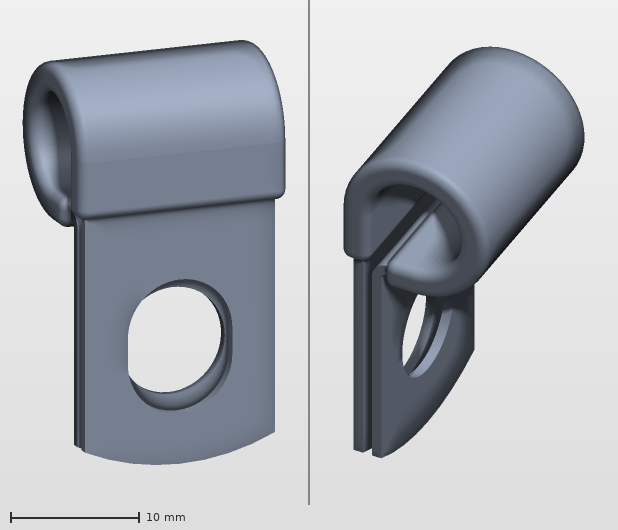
import cadquery as cq
import math


strip_thickness = 0.81
strip_width = 15.875
cushion_thickness = 0.794
bore_radius = 3.969
upright_length = 4.763
foot_length = 2.56
bend_inner_radius = 0.635
hole_diameter = 8.731
slot_travel = 2.1
hole_drop = 15.875
leg_drop = 25.4
leg_end_radius = 19.05

strip_inner_radius = bore_radius + cushion_thickness
strip_outer_radius = strip_inner_radius + strip_thickness
outer_radius = strip_outer_radius + cushion_thickness
cushion_width = strip_width + 2 * cushion_thickness
bent_leg_right = bore_radius
bent_leg_left = bent_leg_right - strip_thickness
bend_outer_radius = bend_inner_radius + strip_thickness
bend_start = bent_leg_right - bend_outer_radius
diagonal = math.sqrt(0.5)


def hook(inner, outer, upright, foot, width):
    """Three-quarter ring with a straight run down at +X and a straight run out at -Z."""
    return (
        cq.Workplane("XZ")
        .moveTo(inner, -upright)
        .lineTo(outer, -upright)
        .lineTo(outer, 0)
        .threePointArc((-outer * diagonal, outer * diagonal), (0, -outer))
        .lineTo(foot, -outer)
        .lineTo(foot, -inner)
        .lineTo(0, -inner)
        .threePointArc((-inner * diagonal, inner * diagonal), (inner, 0))
        .close()
        .extrude(width / 2, both=True)
    )


def make_cushion():
    """Rubber hook with all its rims and both ends rounded."""
    body = hook(bore_radius, outer_radius, upright_length, foot_length, cushion_width)
    side_rims = body.faces("<Y or >Y").edges()
    mid_radius = (bore_radius + outer_radius) / 2
    upright_end = body.faces(cq.NearestToPointSelector((mid_radius, 0, -upright_length)))
    foot_end = body.faces(cq.NearestToPointSelector((foot_length, 0, -mid_radius)))
    rounded = side_rims.add(upright_end.edges("|Y")).add(foot_end.edges("|Y"))
    return rounded.fillet(cushion_thickness)


def make_straight_leg():
    """Flat leg that continues the upright end of the loop."""
    return (
        cq.Workplane("XZ")
        .moveTo(strip_inner_radius, 0)
        .lineTo(strip_outer_radius, 0)
        .lineTo(strip_outer_radius, -leg_drop)
        .lineTo(strip_inner_radius, -leg_drop)
        .close()
        .extrude(strip_width / 2, both=True)
    )


def make_bent_leg():
    """Leg that leaves the foot of the loop and bends down beside the straight leg."""
    bend_z = -strip_inner_radius - bend_outer_radius
    outer_mid = (
        bend_start + bend_outer_radius * diagonal,
        bend_z + bend_outer_radius * diagonal,
    )
    inner_mid = (
        bend_start + bend_inner_radius * diagonal,
        bend_z + bend_inner_radius * diagonal,
    )
    return (
        cq.Workplane("XZ")
        .moveTo(0, -strip_inner_radius)
        .lineTo(bend_start, -strip_inner_radius)
        .threePointArc(outer_mid, (bent_leg_right, bend_z))
        .lineTo(bent_leg_right, -leg_drop)
        .lineTo(bent_leg_left, -leg_drop)
        .lineTo(bent_leg_left, bend_z)
        .threePointArc(inner_mid, (bend_start, -strip_outer_radius))
        .lineTo(0, -strip_outer_radius)
        .close()
        .extrude(strip_width / 2, both=True)
    )


def make_leg_envelope():
    """Outline of the legs along X: straight sides and an arched lower end."""
    half_width = strip_width / 2
    end_rise = leg_end_radius - math.sqrt(leg_end_radius**2 - half_width**2)
    corner_z = end_rise - leg_drop
    return (
        cq.Workplane("YZ")
        .moveTo(-half_width, 0)
        .lineTo(-half_width, corner_z)
        .threePointArc((0, -leg_drop), (half_width, corner_z))
        .lineTo(half_width, 0)
        .close()
        .extrude(outer_radius, both=True)
    )


def make_mounting_hole():
    """Round hole cutter for the bent leg."""
    return (
        cq.Workplane("YZ", origin=(bent_leg_left, 0, -hole_drop))
        .circle(hole_diameter / 2)
        .extrude(strip_thickness)
    )


def make_mounting_slot():
    """Vertical slot cutter for the straight leg, centred on the round hole."""
    return (
        cq.Workplane("YZ", origin=(strip_inner_radius, 0, -hole_drop))
        .slot2D(hole_diameter + slot_travel, hole_diameter, 90)
        .extrude(strip_thickness)
    )


straight_leg = make_straight_leg().cut(make_mounting_slot())
bent_leg = make_bent_leg().cut(make_mounting_hole())
legs = straight_leg.union(bent_leg).intersect(make_leg_envelope())
result = make_cushion().union(legs)